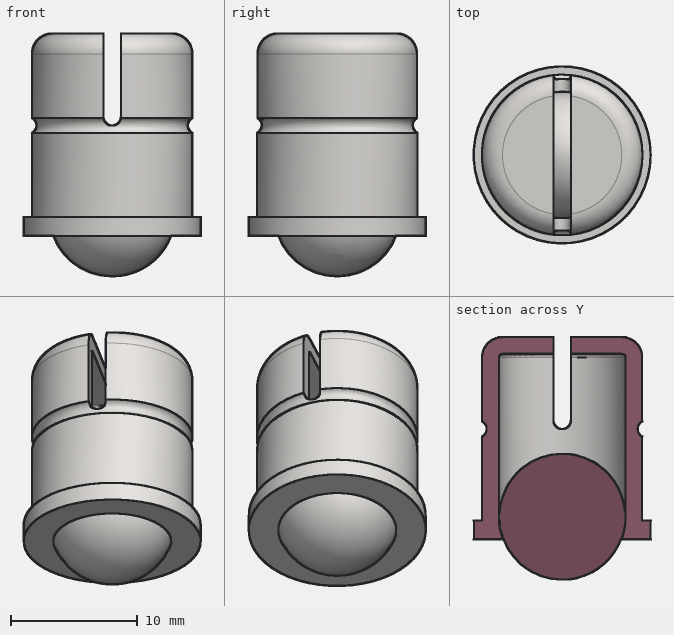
import cadquery as cq
import math

TOTAL_HEIGHT = 19.2
FLANGE_DIAMETER = 14.0
FLANGE_THICKNESS = 1.5
BODY_DIAMETER = 12.7
TOP_FILLET = 1.63

BALL_RADIUS = 5.0
BALL_PROTRUSION = 3.2
WALL_THICKNESS = BODY_DIAMETER / 2 - BALL_RADIUS
CAVITY_TOP = TOTAL_HEIGHT - WALL_THICKNESS
CAVITY_FILLET = TOP_FILLET - WALL_THICKNESS

SLOT_WIDTH = 1.36
SLOT_BOTTOM = 11.92
GROOVE_RADIUS = 0.67
GROOVE_WIDTH = 1.2


def make_ball():
    return cq.Workplane("XY").sphere(BALL_RADIUS).translate((0, 0, BALL_RADIUS))


def make_outer_form():
    """Flanged cylinder with a rounded top edge."""
    flange = cq.Workplane("XY", origin=(0, 0, BALL_PROTRUSION)).circle(FLANGE_DIAMETER / 2)
    flange = flange.extrude(FLANGE_THICKNESS)
    barrel = cq.Workplane("XY", origin=(0, 0, BALL_PROTRUSION)).circle(BODY_DIAMETER / 2)
    barrel = barrel.extrude(TOTAL_HEIGHT - BALL_PROTRUSION)
    barrel = barrel.faces(">Z").edges().fillet(TOP_FILLET)
    return flange.union(barrel)


def make_cavity():
    """Bore above the ball center, ending in a spherical seat that retains the ball."""
    bore = cq.Workplane("XY", origin=(0, 0, BALL_RADIUS)).circle(BALL_RADIUS)
    bore = bore.extrude(CAVITY_TOP - BALL_RADIUS)
    bore = bore.faces(">Z").edges().fillet(CAVITY_FILLET)
    return bore.union(make_ball())


def make_slot():
    """Full-length slot along Y with a half-round bottom."""
    radius = SLOT_WIDTH / 2
    spring_line = SLOT_BOTTOM + radius
    return (
        cq.Workplane("XZ")
        .moveTo(-radius, TOTAL_HEIGHT)
        .lineTo(-radius, spring_line)
        .threePointArc((0, SLOT_BOTTOM), (radius, spring_line))
        .lineTo(radius, TOTAL_HEIGHT)
        .close()
        .extrude(BODY_DIAMETER / 2, both=True)
    )


def make_groove():
    """Ring with a circular section whose chord on the barrel is the groove width."""
    center_offset = math.sqrt(GROOVE_RADIUS**2 - (GROOVE_WIDTH / 2) ** 2)
    section = cq.Workplane("XZ").center(BODY_DIAMETER / 2 + center_offset, SLOT_BOTTOM)
    section = section.circle(GROOVE_RADIUS)
    axis_x = -(BODY_DIAMETER / 2 + center_offset)
    return section.revolve(360, (axis_x, 0), (axis_x, 1))


def make_housing():
    return make_outer_form().cut(make_cavity()).cut(make_groove()).cut(make_slot())


housing = make_housing()
ball = make_ball()

result = cq.Compound.makeCompound([housing.val(), ball.val()])